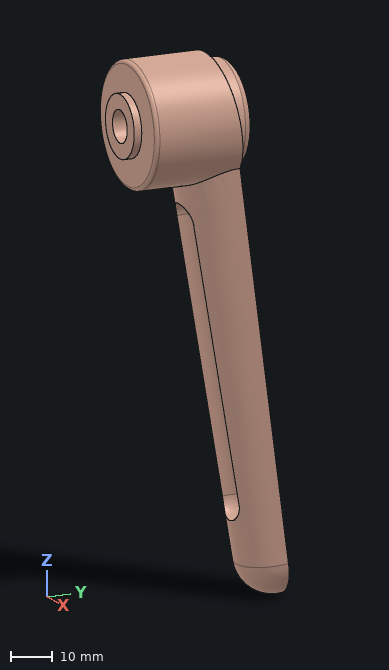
import cadquery as cq
import math


HUB_RADIUS = 16.0
HUB_EDGE_FILLET = 1.0
BOSS_RADIUS = 8.0
BOSS_HEIGHT = 2.0

HOLE_RADIUS = 4.1
HOLE_DEPTH = 18.0
DRILL_POINT_ANGLE = 118.0

TIP_Y = 39.5
TIP_Z = -120.02
TILT_ANGLE = 8.0
ROOT_RADIUS = 12.4
END_RADIUS = 9.5
CONE_LENGTH = (-TIP_Z - END_RADIUS) / math.cos(math.radians(TILT_ANGLE))
REACH = CONE_LENGTH + END_RADIUS
BACK_Y = TIP_Y - REACH * math.sin(math.radians(TILT_ANGLE))
TAPER = (ROOT_RADIUS - END_RADIUS) / CONE_LENGTH

GROOVE_RADIUS = 4.7
GROOVE_SINK = 1.0
GROOVE_START = 24.0
GROOVE_END = 95.8

CAP_RADIUS = 14.0
CAP_RIM_Y = 26.3
CAP_APEX_Y = 27.6
CAP_RIM_FILLET = 2.0


def tilt(shape):
    """Move a shape from the lever frame (flat back on y = 0, lever along -Z) into place."""
    return shape.rotate((0, 0, 0), (1, 0, 0), TILT_ANGLE).translate((0, BACK_Y, 0))


def y_cylinder(radius, y_start, y_end):
    return cq.Workplane("XZ", origin=(0, y_start, 0)).circle(radius).extrude(y_start - y_end)


def make_hub():
    hub = y_cylinder(HUB_RADIUS, 0, TIP_Y)
    return hub.faces("<Y").edges().fillet(HUB_EDGE_FILLET)


def make_lever():
    diagonal = END_RADIUS * math.sqrt(0.5)
    profile = (
        cq.Workplane("XZ")
        .lineTo(ROOT_RADIUS, 0)
        .lineTo(END_RADIUS, -CONE_LENGTH)
        .threePointArc((diagonal, -CONE_LENGTH - diagonal), (0, -REACH))
        .close()
    )
    return tilt(profile.revolve(360, (0, 0, 0), (0, 1, 0)))


def make_behind_back():
    """Everything behind the tilted back plane."""
    size = 4 * REACH
    return tilt(cq.Workplane("XY").box(size, size, size).translate((0, size / 2, 0)))


def make_groove():
    def axis_point(distance):
        surface_radius = ROOT_RADIUS - TAPER * distance
        return cq.Vector(0, GROOVE_SINK - surface_radius, -distance)

    start = axis_point(GROOVE_START)
    end = axis_point(GROOVE_END)
    direction = end - start
    length = direction.Length
    diagonal = GROOVE_RADIUS * math.sqrt(0.5)
    capsule = (
        cq.Workplane(cq.Plane(start, direction, (1, 0, 0)))
        .moveTo(-GROOVE_RADIUS, 0)
        .threePointArc((-diagonal, diagonal), (0, GROOVE_RADIUS))
        .lineTo(length, GROOVE_RADIUS)
        .threePointArc((length + diagonal, diagonal), (length + GROOVE_RADIUS, 0))
        .close()
        .revolve(360, (0, 0, 0), (1, 0, 0))
    )
    return tilt(capsule)


def make_cap():
    """Revolved cap whose foot is buried in the hub."""
    foot_y = BACK_Y / 2
    dome_height = CAP_APEX_Y - CAP_RIM_Y
    dome_radius = (CAP_RADIUS**2 + dome_height**2) / (2 * dome_height)
    middle_x = CAP_RADIUS / 2
    middle_y = CAP_APEX_Y - dome_radius + math.sqrt(dome_radius**2 - middle_x**2)
    cap = (
        cq.Workplane("XY")
        .moveTo(0, foot_y)
        .lineTo(CAP_RADIUS, foot_y)
        .lineTo(CAP_RADIUS, CAP_RIM_Y)
        .threePointArc((middle_x, middle_y), (0, CAP_APEX_Y))
        .close()
        .revolve(360, (0, 0, 0), (0, 1, 0))
    )
    rim = cq.selectors.BoxSelector(
        (-HUB_RADIUS, CAP_RIM_Y - dome_height / 2, -HUB_RADIUS),
        (HUB_RADIUS, CAP_RIM_Y + dome_height / 2, HUB_RADIUS),
    )
    return cap.edges("%CIRCLE").edges(rim).fillet(CAP_RIM_FILLET)


def make_hole():
    point_height = HOLE_RADIUS / math.tan(math.radians(DRILL_POINT_ANGLE / 2))
    bottom_y = HOLE_DEPTH - BOSS_HEIGHT
    return (
        cq.Workplane("XY")
        .moveTo(0, -BOSS_HEIGHT)
        .lineTo(HOLE_RADIUS, -BOSS_HEIGHT)
        .lineTo(HOLE_RADIUS, bottom_y)
        .lineTo(0, bottom_y + point_height)
        .close()
        .revolve(360, (0, 0, 0), (0, 1, 0))
    )


handle = make_hub().union(make_lever()).cut(make_behind_back())
handle = handle.cut(make_groove())
handle = handle.union(make_cap())
handle = handle.union(y_cylinder(BOSS_RADIUS, -BOSS_HEIGHT, HUB_EDGE_FILLET))
result = handle.cut(make_hole())